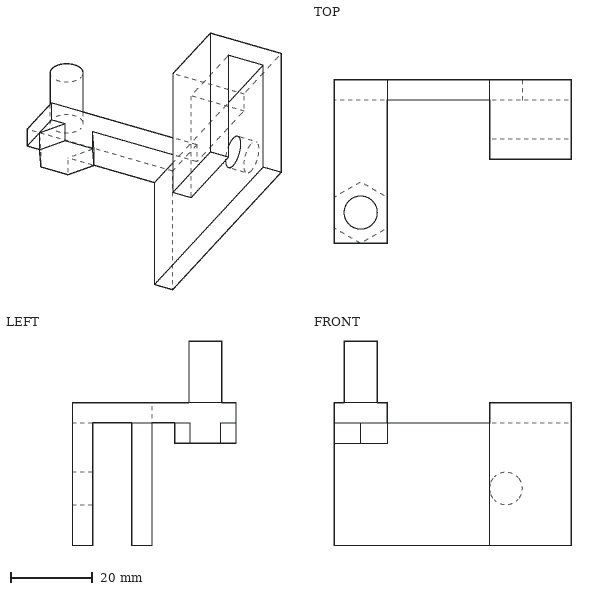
import cadquery as cq
import math

wall = 5.0
body_height = 35.0
depth = 40.0
plate_span = 25.0
hook_width = 20.0
hook_gap = 9.5
pin_diameter = 8.1
pin_height = 15.0
hex_sides = 6
hex_corner_diameter = 15.0
hole_diameter = 8.0
hole_z = 14.0

arm_width = hex_corner_diameter * math.cos(math.pi / hex_sides)
hook_x = arm_width + plate_span
total_width = hook_x + hook_width
plate_height = body_height - wall
hook_depth = wall + hook_gap + wall
hole_x = hook_x + hole_diameter / 2
pin_x = arm_width / 2
pin_y = hex_corner_diameter / 2


def block(x, y, z, width, length, height):
    """Box with its minimum corner at (x, y, z)."""
    return cq.Workplane("XY").box(width, length, height, centered=False).translate((x, y, z))


def back_plate():
    """Upright plate along the rear, with a round hole through it."""
    plate = block(0, depth - wall, 0, total_width, wall, plate_height)
    hole = (
        cq.Workplane("XZ", origin=(hole_x, depth, hole_z))
        .circle(hole_diameter / 2)
        .extrude(wall)
    )
    return plate.cut(hole)


def arm():
    """Horizontal arm reaching forward over the top of the back plate."""
    return block(0, 0, plate_height, arm_width, depth, wall)


def hook():
    """Top bridge over the slot and the lip hanging in front of it."""
    front_y = depth - hook_depth
    bridge = block(hook_x, front_y, plate_height, hook_width, hook_depth, wall)
    lip = block(hook_x, front_y, 0, hook_width, wall, plate_height)
    return bridge.union(lip)


def bolt():
    """Hexagonal head under the arm and a round pin standing above it."""
    head = (
        cq.Workplane("XY", origin=(pin_x, pin_y, plate_height - wall))
        .transformed(rotate=(0, 0, 90))
        .polygon(hex_sides, hex_corner_diameter)
        .extrude(wall)
    )
    pin = (
        cq.Workplane("XY", origin=(pin_x, pin_y, plate_height))
        .circle(pin_diameter / 2)
        .extrude(wall + pin_height)
    )
    return head.union(pin)


result = back_plate().union(arm()).union(hook()).union(bolt())